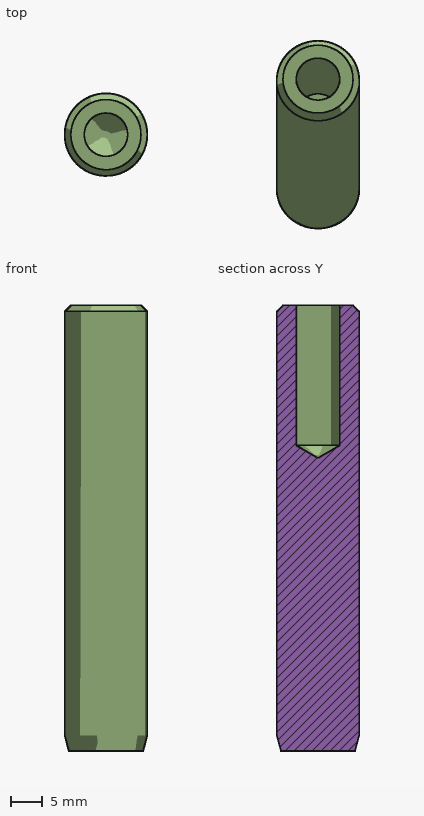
import cadquery as cq
import math

LENGTH = 70.0
PIN_DIAMETER = 13.0
TOP_CHAMFER = 1.0

LEAD_HEIGHT = 2.5
LEAD_ANGLE = 15.0

HOLE_DIAMETER = 6.8
HOLE_DEPTH = 22.0
DRILL_POINT_ANGLE = 120.0

PIN_RADIUS = PIN_DIAMETER / 2
LEAD_END_RADIUS = PIN_RADIUS - LEAD_HEIGHT * math.tan(math.radians(LEAD_ANGLE))
HOLE_RADIUS = HOLE_DIAMETER / 2


def make_pin():
    """Solid pin standing on Z = 0: tapered lead-in below, conical chamfer on top."""
    profile = (
        cq.Workplane("XZ")
        .moveTo(0, LENGTH)
        .lineTo(PIN_RADIUS - TOP_CHAMFER, LENGTH)
        .lineTo(PIN_RADIUS, LENGTH - TOP_CHAMFER)
        .lineTo(PIN_RADIUS, LEAD_HEIGHT)
        .lineTo(LEAD_END_RADIUS, 0)
        .lineTo(0, 0)
        .close()
    )
    return profile.revolve(360, (0, 0, 0), (0, 1, 0))


def make_hole():
    """Drilled hole volume: cylinder with a conical drill point."""
    shoulder_z = LENGTH - HOLE_DEPTH
    point_height = HOLE_RADIUS / math.tan(math.radians(DRILL_POINT_ANGLE / 2))
    profile = (
        cq.Workplane("XZ")
        .moveTo(0, LENGTH)
        .lineTo(HOLE_RADIUS, LENGTH)
        .lineTo(HOLE_RADIUS, shoulder_z)
        .lineTo(0, shoulder_z - point_height)
        .close()
    )
    return profile.revolve(360, (0, 0, 0), (0, 1, 0))


result = make_pin().cut(make_hole())